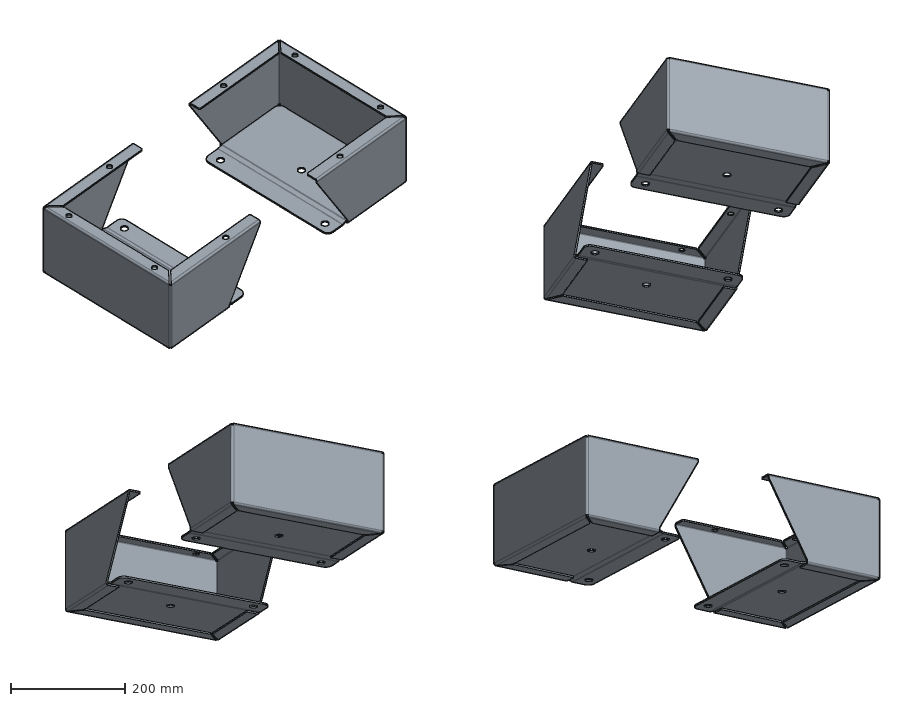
import cadquery as cq

width = 305.0
length = 609.5
height = 152.5
half_width = width / 2
back_y = length / 2
tip_y = 73.0

sheet = 3.0
inner_bend = 0.9
outer_bend = inner_bend + sheet

flange = 25.0
flange_corner = 3.0
slit_width = 3.5
wall_foot_y = 153.0
slant_low_z = 7.5
slant_high_z = 145.0

flange_hole = 11.0
plate_hole = 14.0
flange_hole_inset = 14.0
back_hole_x = 102.0
side_hole_y = 147.0
floor_hole_y = 197.5
foot_hole_x = 124.5
foot_hole_y = 124.0

foot_end_y = 105.5
step_low_y = 142.5
step_high_y = 152.5
plate_corner = 12.0


def block(x_half, y_min, y_max, z_min, z_max):
    """Box centred on X, given by its limits in Y and Z."""
    return cq.Workplane("XY").box(
        2 * x_half, y_max - y_min, z_max - z_min, centered=(True, False, False)
    ).translate((0, y_min, z_min))


def round_bends(body, radius):
    """Round every edge of a block except those of its open front end."""
    return body.edges("not(<Y)").fillet(radius)


def vertical_holes(points, diameter, z_min, z_max):
    """Upright cylinders used to cut round holes."""
    return (
        cq.Workplane("XY", origin=(0, 0, z_min))
        .pushPoints(points)
        .circle(diameter / 2)
        .extrude(z_max - z_min)
    )


def folded_shell():
    """Back and side walls with the top and bottom still closed."""
    outer = round_bends(block(half_width, tip_y, back_y, 0, height), outer_bend)
    cavity = round_bends(
        block(half_width - sheet, tip_y, back_y - sheet, sheet, height - sheet), inner_bend
    )
    return outer.cut(cavity)


def flange_opening():
    """Full-height opening that leaves the flanges around three sides."""
    return block(half_width - flange, tip_y, back_y - flange, 0, height)


def front_cut():
    """Region in front of the slanted edge of the side walls."""
    return (
        cq.Workplane("YZ")
        .moveTo(tip_y, 0)
        .lineTo(wall_foot_y, 0)
        .lineTo(wall_foot_y, slant_low_z)
        .lineTo(tip_y, slant_high_z)
        .close()
        .extrude(half_width, both=True)
    )


def corner_slits():
    """Mitre gaps between the flanges, running out through the bends at the box corners."""
    slit_length = 4 * flange
    slits = []
    for side in (-1, 1):
        for z_min in (0, height - outer_bend):
            slit = (
                cq.Workplane("XY")
                .box(slit_length, slit_width, outer_bend, centered=(True, True, False))
                .rotate((0, 0, 0), (0, 0, 1), side * 45)
                .translate((side * (half_width - flange), back_y - flange, z_min))
            )
            slits.append(slit)
    return slits


def make_frame():
    frame = folded_shell().cut(flange_opening()).cut(front_cut())
    for slit in corner_slits():
        frame = frame.cut(slit)

    for side in (-1, 1):
        tip_corner = (side * (half_width - flange), tip_y, height - sheet / 2)
        frame = frame.edges(cq.selectors.NearestToPointSelector(tip_corner)).fillet(flange_corner)

    hole_points = [(side * back_hole_x, back_y - flange_hole_inset) for side in (-1, 1)]
    hole_points += [(side * (half_width - flange_hole_inset), side_hole_y) for side in (-1, 1)]
    return frame.cut(vertical_holes(hole_points, flange_hole, height - sheet, height))


def bend_step(plate):
    """Round the two bends of the step, with the larger radius on the outside of each."""
    bends = (
        (step_low_y, 0, outer_bend),
        (step_low_y, sheet, inner_bend),
        (step_high_y, sheet, inner_bend),
        (step_high_y, 2 * sheet, outer_bend),
    )
    for y, z, radius in bends:
        plate = plate.edges(cq.selectors.NearestToPointSelector((0, y, z))).fillet(radius)
    return plate


def make_floor_plate():
    plate_half = half_width - outer_bend
    plate_end_y = back_y - outer_bend
    plate = (
        cq.Workplane("YZ")
        .moveTo(foot_end_y, 0)
        .lineTo(step_low_y, 0)
        .lineTo(step_high_y, sheet)
        .lineTo(plate_end_y, sheet)
        .lineTo(plate_end_y, 2 * sheet)
        .lineTo(step_high_y, 2 * sheet)
        .lineTo(step_low_y, sheet)
        .lineTo(foot_end_y, sheet)
        .close()
        .extrude(plate_half, both=True)
    )
    plate = bend_step(plate)
    plate = plate.edges("|Z").fillet(plate_corner)

    hole_points = [(side * foot_hole_x, foot_hole_y) for side in (-1, 1)]
    hole_points.append((0, floor_hole_y))
    return plate.cut(vertical_holes(hole_points, plate_hole, 0, 2 * sheet))


frame = make_frame()
floor_plate = make_floor_plate()

bodies = []
for angle in (0, 180):
    for body in (frame, floor_plate):
        bodies.append(body.rotate((0, 0, 0), (0, 0, 1), angle).solids().val())

result = cq.Compound.makeCompound(bodies)